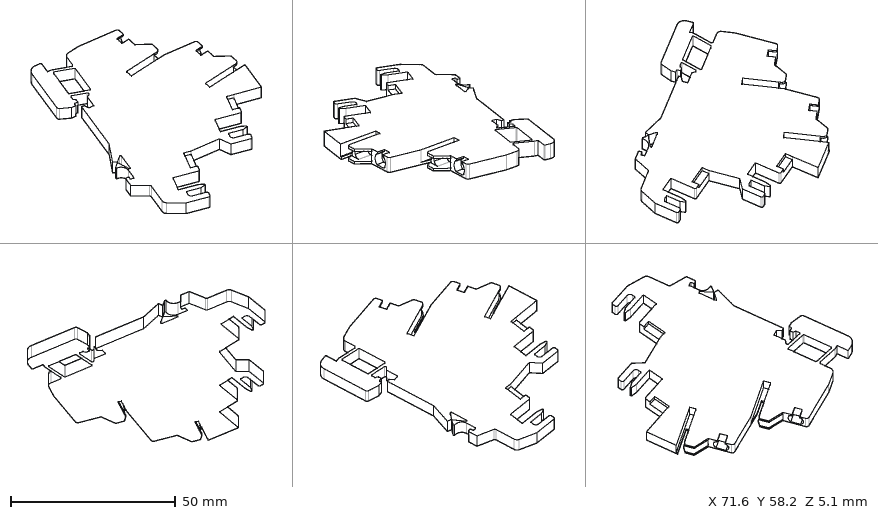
import cadquery as cq
import math

LENGTH = 71.6
HEIGHT = 58.2
THICKNESS = 5.1
MID_Z = THICKNESS / 2

TILT = math.radians(10.5)

LEFT_ANCHOR = (15.9, 25.5)
LEFT_STEP = (15.9, 18.6)
LEFT_LEVELS = [
    LEFT_ANCHOR,
    (LEFT_ANCHOR[0] + LEFT_STEP[0], LEFT_ANCHOR[1] + LEFT_STEP[1]),
]
UPPER_LEFT_WALL_X = 15.75
LOWER_SLOT_FLOOR = 4.5
UPPER_SLOT_FLOOR = 5.3

RIGHT_ANCHOR = (59.55, 17.0)
RIGHT_STEP = (-13.8, 22.5)
RIGHT_LEVELS = [
    RIGHT_ANCHOR,
    (RIGHT_ANCHOR[0] + RIGHT_STEP[0], RIGHT_ANCHOR[1] + RIGHT_STEP[1]),
]
RIGHT_WALL_X = 53.0
RIGHT_WALL_TOP = 36.9
RIGHT_UNDERSIDE = 9.65
BLOCK_TOP_RIGHT_X = 41.45

SHELF_LEFT = 8.8
SHELF_RADIUS = 0.85
FIN_FOOT = -6.6
FIN_TOP_LEFT = -3.35
FIN_TOP_RIGHT = -0.5
FIN_TOP = 12.95
FIN_SHOULDER = 11.45
LOWER_GROOVE_WIDTH = 2.3
UPPER_GROOVE_WIDTH = 2.0
SLOT_LEFT = 0.465
SLOT_WIDTH = 1.1
SLOT_RIGHT = SLOT_LEFT + SLOT_WIDTH
GROOVE_REACH = 15.75
FLOOR_PLATE = 0.85
SHELF_CLEARANCE = 0.1
NOTCH_LEFT = -11.9
NOTCH_WIDTH = 2.4
POCKET_FLOOR = 6.15
WIRE_HOLE_DIAMETER = 4.9
WIRE_HOLE_HEIGHT = 3.7
POCKET_WIDTH = THICKNESS - 2 * FLOOR_PLATE
POCKET_END = -1.4
POCKET_END_FLAT = 1.1
WINDOW_SILL = 11.0

SHELF_RIGHT = 8.65
UPPER_SHELF_START = -7.5
RECESS_RIGHT = -2.0
RECESS_FLOOR = 6.3
RECESS_DEPTH = 1.5
TOOTH_RADIUS = 0.5
GAP_WIDTH = 5.0
INNER_PRONG_RIGHT = 6.5
OUTER_PRONG_LEFT = 8.7
PRONG_SLOT_FLOOR = 2.15
PRONG_SLOT_RADIUS = 1.15
PRONG_TOP = 8.4
PRONG_LEAD_RADIUS = 0.65
UPPER_PRONG_FOOT = 1.4
LOWER_PRONG_FOOT = 0.5
PRONG_TIP_RADIUS = 0.4

FOOT_TOP = 5.9
RAIL_Y = 6.7
BODY_UNDERSIDE = 12.5
WINDOW_LEFT = 5.1
WINDOW_WIDTH = 9.8
WINDOW_RADIUS = 0.3
STRUT_LEAN = math.tan(math.radians(16.6))


def left_point(anchor, along, up):
    """Point of a left level, whose shelf rises to the right."""
    x = anchor[0] + along * math.cos(TILT) - up * math.sin(TILT)
    y = anchor[1] + along * math.sin(TILT) + up * math.cos(TILT)
    return x, y


def right_point(anchor, along, up):
    """Point of a right level, whose shelf falls to the right."""
    x = anchor[0] + along * math.cos(TILT) + up * math.sin(TILT)
    y = anchor[1] - along * math.sin(TILT) + up * math.cos(TILT)
    return x, y


def shelf_start(anchor, wall_x):
    """Distance along a right shelf at which it leaves the wall above it."""
    return (wall_x - anchor[0] - SHELF_RIGHT * math.sin(TILT)) / math.cos(TILT)


def outer_prong_right():
    """Distance along the lower right level at which the prong's rounded tip reaches full length."""
    tip_center_up = PRONG_TOP - PRONG_TIP_RADIUS
    tip_center_x = LENGTH - PRONG_TIP_RADIUS
    rise_x = tip_center_up * math.sin(TILT)
    return (tip_center_x - RIGHT_ANCHOR[0] - rise_x) / math.cos(TILT) + PRONG_TIP_RADIUS


OUTER_PRONG_RIGHT = outer_prong_right()
LOWER_SHELF_START = shelf_start(RIGHT_LEVELS[0], RIGHT_WALL_X)


def rounded_plate(corners):
    """Full-thickness plate from corners (x, y) or (x, y, radius)."""
    path = None
    for index, corner in enumerate(corners):
        x, y = corner[:2]
        starts_arc = len(corner) == 3
        if starts_arc:
            before = corners[index - 1]
            after = corners[(index + 1) % len(corners)]
            vertex = cq.Vector(x, y)
            back = (cq.Vector(*before[:2]) - vertex).normalized()
            ahead = (cq.Vector(*after[:2]) - vertex).normalized()
            half = back.getAngle(ahead) / 2
            radius = corner[2]
            bisector = (back + ahead).normalized()
            setback = radius / math.tan(half)
            entry = vertex + back * setback
            middle = vertex + bisector * (radius / math.sin(half) - radius)
            leave = vertex + ahead * setback
        else:
            entry = cq.Vector(x, y)
        if path is None:
            path = cq.Workplane("XY").moveTo(entry.x, entry.y)
        else:
            path = path.lineTo(entry.x, entry.y)
        if starts_arc:
            path = path.threePointArc((middle.x, middle.y), (leave.x, leave.y))
    return path.close().extrude(THICKNESS)


def left_level_corners(anchor, wall_x, slot_floor):
    """Shelf, fin and marker slot of a left level, from the outer wall to the slot floor."""
    shelf_y = anchor[1] + (SHELF_LEFT + (wall_x - anchor[0]) * math.sin(TILT)) / math.cos(TILT)
    local = [
        (FIN_FOOT, SHELF_LEFT),
        (FIN_TOP_LEFT, FIN_TOP),
        (FIN_TOP_RIGHT, FIN_TOP),
        (SLOT_LEFT, FIN_SHOULDER),
        (SLOT_LEFT, slot_floor),
        (SLOT_RIGHT, slot_floor),
    ]
    return [(wall_x, shelf_y, SHELF_RADIUS)] + [left_point(anchor, *point) for point in local]


def right_level_corners(anchor, start, prong_foot):
    """Shelf, tooth gap, pointed prong and outer prong of a right level."""
    local = [
        (start, SHELF_RIGHT),
        (0, SHELF_RIGHT, TOOTH_RADIUS),
        (0, 0),
        (GAP_WIDTH, 0),
        (GAP_WIDTH, 6.3),
        (5.45, 8.2),
        (5.9, PRONG_TOP),
        (INNER_PRONG_RIGHT, 6.8),
        (INNER_PRONG_RIGHT, PRONG_SLOT_FLOOR),
        (OUTER_PRONG_LEFT, PRONG_SLOT_FLOOR, PRONG_SLOT_RADIUS),
        (OUTER_PRONG_LEFT, PRONG_TOP, PRONG_LEAD_RADIUS),
        (OUTER_PRONG_RIGHT, PRONG_TOP, PRONG_TIP_RADIUS),
        (OUTER_PRONG_RIGHT, prong_foot),
    ]
    return [right_point(anchor, *point[:2]) + point[2:] for point in local]


def body():
    lower_left, upper_left = LEFT_LEVELS
    lower_right, upper_right = RIGHT_LEVELS

    slot_exit = left_point(lower_left, SLOT_RIGHT, 0)
    slot_exit_y = slot_exit[1] + (slot_exit[0] - UPPER_LEFT_WALL_X) / math.tan(TILT)
    block_edge = left_point(upper_left, SLOT_RIGHT, 0)
    block_left_x = block_edge[0] - (HEIGHT - block_edge[1]) * math.tan(TILT)

    left_side = (
        [(0, 17.8)]
        + left_level_corners(lower_left, 0, LOWER_SLOT_FLOOR)
        + [(UPPER_LEFT_WALL_X, slot_exit_y)]
        + left_level_corners(upper_left, UPPER_LEFT_WALL_X, UPPER_SLOT_FLOOR)
        + [(block_left_x, HEIGHT)]
    )
    right_side = (
        [(BLOCK_TOP_RIGHT_X, HEIGHT)]
        + right_level_corners(upper_right, UPPER_SHELF_START, UPPER_PRONG_FOOT)
        + [(RIGHT_WALL_X, RIGHT_WALL_TOP)]
        + right_level_corners(lower_right, LOWER_SHELF_START, LOWER_PRONG_FOOT)
        + [(66.8, RIGHT_UNDERSIDE, 1.5), (58.8, RIGHT_UNDERSIDE, 0.65)]
    )
    rail_hook = [
        (55.8, 4.4),
        (52.6, 4.4, 0.35),
        (52.6, 5.5),
        (53.75, 5.5, 0.2),
        (53.75, RAIL_Y),
    ]
    spring_leg = [
        (47.8, RAIL_Y, 2.65),
        (47.8, 3.95),
        (47.4, 3.95),
        (45.95, 5.3),
        (49.9, 7.2),
        (49.9, 7.65),
        (43.65, 7.65, 0.3),
        (45.8, 5.4),
        (45.15, 4.1),
        (38.35, RAIL_Y),
    ]
    rail_seat = [
        (21.3, RAIL_Y),
        (21.3, 7.65),
        (22.8, 8.5),
        (22.8, 10.15),
        (18.8, 10.15),
        (17.7, 11.75, 0.4),
    ]
    foot = [
        (15.95, FOOT_TOP, 0.2),
        (17.45, FOOT_TOP),
        (18.1, 6.65),
        (19.2, 6.65),
        (19.2, 5.45, 0.3),
        (20.1, 5.45),
        (20.1, 3.95),
        (18.5, 0, 0.85),
        (0.2, 0, 2.4),
        (0.2, 4.6, 0.3),
        (4.1, 4.6),
        (4.1, 5.9),
        (6.1, BODY_UNDERSIDE, 0.5),
        (0.9, BODY_UNDERSIDE, 1.4),
    ]
    return rounded_plate(left_side + right_side + rail_hook + spring_leg + rail_seat + foot)


def foot_window():
    """Slanted opening between the two struts that carry the foot."""
    lean = (BODY_UNDERSIDE - FOOT_TOP) * STRUT_LEAN
    left = WINDOW_LEFT
    right = left + WINDOW_WIDTH
    return rounded_plate(
        [
            (left, FOOT_TOP, WINDOW_RADIUS),
            (right, FOOT_TOP, WINDOW_RADIUS),
            (right + lean, BODY_UNDERSIDE, WINDOW_RADIUS),
            (left + lean, BODY_UNDERSIDE, WINDOW_RADIUS),
        ]
    )


def tilted_box(to_point, anchor, along, up, z_range):
    """Box spanning ranges along and up a level's shelf directions and a range in Z."""
    corners = [
        to_point(anchor, along[0], up[0]),
        to_point(anchor, along[1], up[0]),
        to_point(anchor, along[1], up[1]),
        to_point(anchor, along[0], up[1]),
    ]
    base = cq.Workplane("XY").workplane(offset=z_range[0])
    return base.polyline(corners).close().extrude(z_range[1] - z_range[0])


def tilted_cylinder(anchor, along, up, diameter):
    """Cylinder at mid thickness that spans a range up a left level."""
    start = left_point(anchor, along, up[0])
    axis = cq.Vector(-math.sin(TILT), math.cos(TILT), 0)
    return cq.Workplane(
        cq.Solid.makeCylinder(diameter / 2, up[1] - up[0], cq.Vector(*start, MID_Z), axis)
    )


def left_level_cuts(anchor, groove_width):
    """Marker groove, notched wire hole and the pocket behind the fin's sloping face."""

    def box(along, up, z_range):
        return tilted_box(left_point, anchor, along, up, z_range)

    groove = box((0, groove_width), (0, GROOVE_REACH), (FLOOR_PLATE, THICKNESS))

    hole_up = (POCKET_FLOOR, SHELF_LEFT + SHELF_CLEARANCE)
    notch = box((NOTCH_LEFT, NOTCH_LEFT + NOTCH_WIDTH), hole_up, (MID_Z, THICKNESS))
    hole_axis = NOTCH_LEFT + NOTCH_WIDTH / 2
    hole_sides = box(
        (hole_axis - WIRE_HOLE_DIAMETER, hole_axis + WIRE_HOLE_DIAMETER),
        hole_up,
        (MID_Z - WIRE_HOLE_HEIGHT / 2, MID_Z + WIRE_HOLE_HEIGHT / 2),
    )
    wire_hole = tilted_cylinder(anchor, hole_axis, hole_up, WIRE_HOLE_DIAMETER)
    wire_hole = wire_hole.intersect(hole_sides)

    pocket_z = (FLOOR_PLATE, THICKNESS - FLOOR_PLATE)
    pocket_up = (POCKET_FLOOR, WINDOW_SILL)
    pocket_axis = POCKET_END - math.sqrt(POCKET_WIDTH**2 - POCKET_END_FLAT**2) / 2
    pocket = box((FIN_FOOT, pocket_axis), pocket_up, pocket_z)
    pocket_end = tilted_cylinder(anchor, pocket_axis, pocket_up, POCKET_WIDTH)
    pocket_end = pocket_end.intersect(box((FIN_FOOT, POCKET_END), pocket_up, pocket_z))
    window = box((FIN_FOOT, SLOT_LEFT), (WINDOW_SILL, FIN_TOP), pocket_z)

    return [groove, notch, wire_hole, pocket, pocket_end, window]


def right_recess(anchor, start):
    """Shallow marker recess in the upper face along a right shelf."""
    return tilted_box(
        right_point,
        anchor,
        (start, RECESS_RIGHT),
        (RECESS_FLOOR, SHELF_RIGHT),
        (THICKNESS - RECESS_DEPTH, THICKNESS),
    )


result = body().cut(foot_window())
for level, groove_width in zip(LEFT_LEVELS, (LOWER_GROOVE_WIDTH, UPPER_GROOVE_WIDTH)):
    for cut in left_level_cuts(level, groove_width):
        result = result.cut(cut)
for level, start in zip(RIGHT_LEVELS, (LOWER_SHELF_START, UPPER_SHELF_START)):
    result = result.cut(right_recess(level, start))